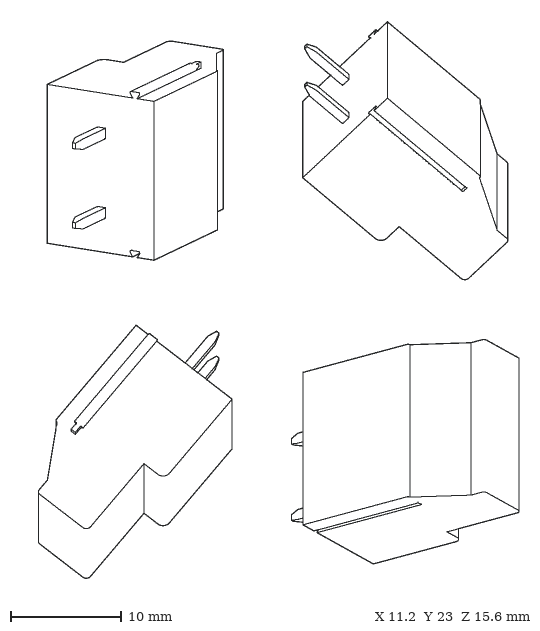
import cadquery as cq
import math

pin_length = 5.0
housing_width = 11.2
housing_depth = 23 - pin_length
housing_height = 15.0

step_depth = 9.8
rear_left = 2.37
rear_right = 8.2
slope_rear = 16.51
ledge_depth = 11.68
ledge_width = 0.2
step_radius = 0.75
rear_left_radius = 0.5
rear_right_radius = 0.3
ledge_radius = 0.18

dovetail_x = 9.2
dovetail_height = 0.6
dovetail_neck = 0.48
dovetail_angle = 60
dovetail_radius = 0.12
rail_length = 10.76
tongue_reach = 11.55

pin_x = 5.7
pin_width = 0.85
pin_height = 1.0
pin_tip_width = 0.3
pin_tip_height = 0.53
pin_tip_length = 0.92
pin_count = 2
pin_pitch = housing_height / pin_count


def make_housing():
    """Extrude the plan outline and round its vertical corners."""
    outline = [
        (0, 0),
        (housing_width, 0),
        (housing_width, ledge_depth),
        (housing_width - ledge_width, ledge_depth),
        (rear_right, slope_rear),
        (rear_right, housing_depth),
        (rear_left, housing_depth),
        (rear_left, step_depth),
        (0, step_depth),
    ]
    rounded_corners = [
        (0, step_depth, step_radius),
        (rear_left, housing_depth, rear_left_radius),
        (rear_right, housing_depth, rear_right_radius),
        (housing_width, ledge_depth, ledge_radius),
    ]
    housing = cq.Workplane("XY").polyline(outline).close().extrude(housing_height)
    for x, y, radius in rounded_corners:
        corner = cq.selectors.NearestToPointSelector((x, y, housing_height / 2))
        housing = housing.edges("|Z").edges(corner).fillet(radius)
    return housing


def make_dovetail(base_z, length):
    """Dovetail bar widening upwards from base_z, starting at the front face."""
    neck_half = dovetail_neck / 2
    top_half = neck_half + dovetail_height / math.tan(math.radians(dovetail_angle))
    section = [
        (-neck_half, 0),
        (neck_half, 0),
        (top_half, dovetail_height),
        (-top_half, dovetail_height),
    ]
    return (
        cq.Workplane("XZ", origin=(dovetail_x, 0, base_z))
        .polyline(section)
        .close()
        .extrude(-length)
        .edges("|Y and >Z")
        .fillet(dovetail_radius)
    )


def make_rail():
    """Dovetail on the top face, with a narrow tongue reaching past its rear end."""
    tongue = cq.Workplane("XY").box(
        dovetail_neck, tongue_reach, dovetail_height, centered=(True, False, False)
    )
    tongue = tongue.translate((dovetail_x, 0, housing_height))
    return make_dovetail(housing_height, rail_length).union(tongue)


def make_groove():
    """Blind dovetail slot in the bottom face, deep enough to take a rail and its tongue."""
    return make_dovetail(0, tongue_reach)


def make_pin(z):
    """Rectangular pin on the front face with a tapered tip."""
    shank_length = pin_length - pin_tip_length
    shank = (
        cq.Workplane("XZ", origin=(pin_x, 0, z))
        .rect(pin_width, pin_height)
        .extrude(shank_length)
    )
    tip = (
        cq.Workplane("XZ", origin=(pin_x, -shank_length, z))
        .rect(pin_width, pin_height)
        .workplane(offset=pin_tip_length)
        .rect(pin_tip_width, pin_tip_height)
        .loft(ruled=True)
    )
    return shank.union(tip)


result = make_housing().cut(make_groove()).union(make_rail())
for index in range(pin_count):
    result = result.union(make_pin((index + 0.5) * pin_pitch))